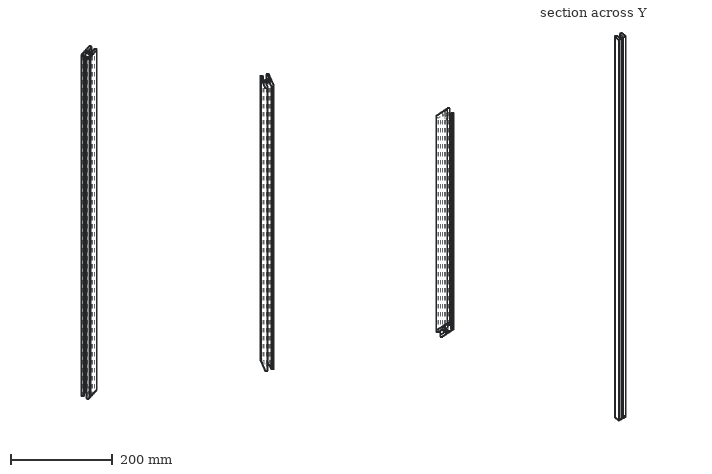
import cadquery as cq
import math

width = 18.0
height = 32.0
length = 1000.0
corner_radius = 2.0

channel_gap = 7.0
lead_in_angle = 37.4
lead_in_width = 2.4
straight_root_radius = 1.5
groove_wall = 1.5
groove_root_radius = 2.5
lip_back = 11.0

web_thickness = 7.5
web_skin = 1.5
chamber_wall = 2.5
rib = 4.0
chamber_radius = 0.5

half_height = height / 2
half_length = length / 2
floor_y = web_thickness / 2
half_gap = channel_gap / 2
lead_in_depth = lead_in_width * math.tan(math.radians(lead_in_angle))


def make_envelope():
    """Full rectangular bar with its four long outer edges rounded."""
    return cq.Workplane("XY").box(width, height, length).edges("|Z").fillet(corner_radius)


def make_mouth(start_y):
    """Channel from start_y up to the +Y end, widening there into a lead-in slope."""
    right_half = [
        (half_gap, start_y),
        (half_gap, half_height - lead_in_depth),
        (half_gap + lead_in_width, half_height),
    ]
    left_half = [(-x, y) for x, y in reversed(right_half)]
    base = cq.Workplane("XY").workplane(offset=-half_length)
    return base.polyline(right_half + left_half).close().extrude(length)


def make_straight_channel():
    """Channel open to +Y with parallel walls and rounded roots."""
    return make_mouth(floor_y).edges("|Z and <Y").fillet(straight_root_radius)


def make_undercut_channel():
    """Channel open to -Y with a wide round-rooted groove behind its lips."""
    groove_width = width - 2 * groove_wall
    groove_height = lip_back - floor_y
    groove = (
        cq.Workplane("XY")
        .box(groove_width, groove_height, length)
        .edges("|Z and <Y")
        .fillet(groove_root_radius)
        .translate((0, floor_y + groove_height / 2, 0))
    )
    return make_mouth(floor_y).union(groove).mirror("XZ")


def make_chamber(side):
    """Hollow running along the whole web, on the +X (1) or -X (-1) side of the rib."""
    chamber_width = width / 2 - chamber_wall - rib / 2
    chamber_height = web_thickness - 2 * web_skin
    return (
        cq.Workplane("XY")
        .box(chamber_width, chamber_height, length)
        .edges("|Z")
        .fillet(chamber_radius)
        .translate((side * (rib + chamber_width) / 2, 0, 0))
    )


result = make_envelope().cut(make_straight_channel()).cut(make_undercut_channel())
for side in (1, -1):
    result = result.cut(make_chamber(side))